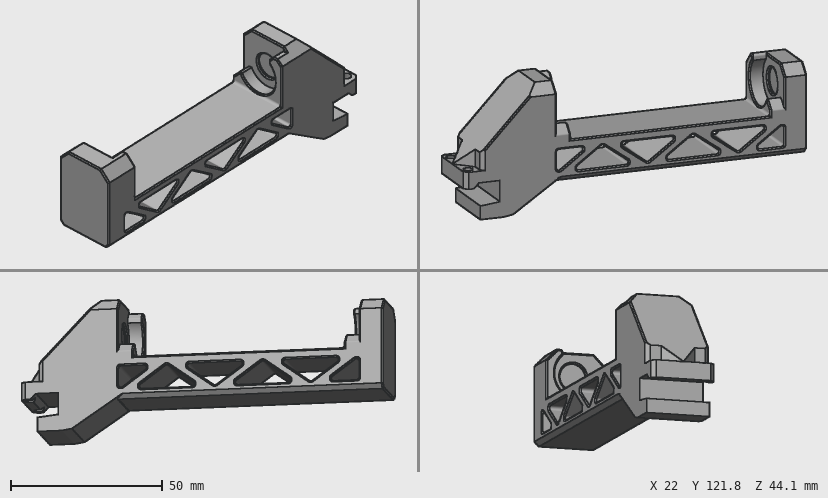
import cadquery as cq
import math

width = 22.0
length = 121.8
height = 44.1
half_width = width / 2
corner_cut = 3.8
edge_break = 0.5

beam_bottom = 10.1
beam_top = 24.1
beam_bottom_chamfer = 1.6
root_radius = 1.0

near_plate_top = 40.8
near_plate_face = 8.0
far_plate_face = 89.0
seat_depth = 5.0
seat_top = 42.4
seat_bottom = beam_top - 2 * edge_break
seat_radius = 8.0
seat_axis_z = 32.8
recess_diameter = 9.0
recess_depth = 1.0
post_side_z = 26.0
lower_post_z = 29.0
lower_post_x = lower_post_z - post_side_z - half_width
upper_post_x = 5.2
upper_post_z = 40.3
post_fillet = 0.7

head_top_end = 95.3
slot_roof = 12.8
slot_roof_end = 116.6
slot_back = 109.2
slot_floor_back = 5.5
slot_floor_tip = 4.7
hook_tip = 116.1
hook_foot_end = 108.0
underside_start = 104.6
underside_start_z = 0.5
underside_end = 87.5
tab_top = 16.8
tab_bottom = 11.0
tab_corner = 1.5
hole_diameter = 3.3
hole_x = 7.5
hole_y = 119.2
pocket_back = 115.9
pocket_outer_chamfer = 1.5

window_top = 21.1
window_bottom = 13.1
window_half_base = 11.1
window_fillet = 0.9
window_pitch = 16.13
near_apex_y = 8.2
full_windows = 4
far_apex_y = near_apex_y + (full_windows + 1) * window_pitch


def across(points):
    """Extrude an outline of (y, z) points over the whole width."""
    return cq.Workplane("YZ").polyline(points).close().extrude(half_width, both=True)


def end_block(start, end, bottom, top):
    """Block along Y whose upper corners are cut at 45 degrees."""
    block = cq.Workplane("XY").box(width, end - start, top - bottom, centered=(True, False, False))
    return block.edges("|Y and >Z").chamfer(corner_cut).translate((0, start, bottom))


def face_rim(face_y):
    """Selects the edges around an end plate's inner face, except its lower edge."""
    return cq.selectors.BoxSelector(
        (-width, face_y - 0.1, beam_bottom + beam_bottom_chamfer),
        (width, face_y + 0.1, height + 0.1),
    )


def make_beam():
    start = near_plate_face - edge_break
    span = far_plate_face + edge_break - start
    beam = cq.Workplane("XY").box(width, span, beam_top - beam_bottom, centered=(True, False, False))
    beam = beam.edges("|Y and <Z").chamfer(beam_bottom_chamfer)
    beam = beam.edges("|Y and >Z").chamfer(edge_break)
    return beam.translate((0, start, beam_bottom))


def make_near_plate():
    plate = end_block(0, near_plate_face, beam_bottom, near_plate_top)
    plate = plate.edges("|Y and <Z").chamfer(beam_bottom_chamfer)
    plate = plate.faces("<Y").edges().chamfer(edge_break)
    return plate.edges(face_rim(near_plate_face)).chamfer(edge_break)


def make_head():
    outline = [
        (far_plate_face, height),
        (head_top_end, height),
        (length, tab_top),
        (length, tab_bottom),
        (slot_roof_end + slot_roof - tab_bottom, tab_bottom),
        (slot_roof_end, slot_roof),
        (slot_back, slot_roof),
        (slot_back, slot_floor_back),
        (hook_tip, slot_floor_tip),
        (hook_tip, 0),
        (hook_foot_end, 0),
        (underside_start, underside_start_z),
        (underside_end, beam_bottom + beam_bottom_chamfer),
        (underside_end, seat_bottom),
        (far_plate_face, seat_bottom),
    ]
    head = across(outline)
    slope_edges = cq.selectors.BoxSelector(
        (-width, head_top_end, tab_top), (width, length, height)
    )
    head = head.edges(slope_edges).edges("not |X").chamfer(edge_break)
    head = head.intersect(end_block(0, length, 0, height))
    head = head.edges(face_rim(far_plate_face)).chamfer(edge_break)
    for side in (-1, 1):
        head = head.cut(tab_pocket(side))
    holes = cq.Workplane("XY").pushPoints([(-hole_x, hole_y), (hole_x, hole_y)])
    head = head.cut(holes.circle(hole_diameter / 2).extrude(height))
    return head.edges(">Y and |Z").chamfer(tab_corner)


def tab_pocket(side):
    """Recess above one corner of the tab, open upwards; side is -1 or 1."""
    outline = [
        (side * half_width, length),
        (side * half_width, pocket_back - pocket_outer_chamfer),
        (side * (half_width - pocket_outer_chamfer), pocket_back),
        (side * (length - pocket_back), pocket_back),
        (0, length),
    ]
    pocket = cq.Workplane("XY").workplane(offset=tab_top).polyline(outline).close()
    return pocket.extrude(height - tab_top)


def make_seat(plate_top, top_limit):
    """Seat on a plate whose face lies on Y = 0: a round pocket that is open towards -X and up.

    The seat reaches slightly into the plate to fill the broken edge of the plate's face.
    """
    seat = end_block(-seat_depth, edge_break, seat_bottom, plate_top)
    ceiling = cq.Workplane("XY").box(width, 4 * seat_depth, height, centered=(True, True, False))
    seat = seat.cut(ceiling.translate((0, 0, top_limit)))
    opening = (
        cq.Workplane("XZ", origin=(0, edge_break, 0))
        .moveTo(-half_width, post_side_z)
        .lineTo(lower_post_x, lower_post_z)
        .lineTo(0, lower_post_z)
        .lineTo(upper_post_x, seat_axis_z)
        .lineTo(upper_post_x, upper_post_z)
        .lineTo(upper_post_x + height - upper_post_z, height)
        .lineTo(-half_width, height)
        .close()
        .extrude(seat_depth + edge_break)
    )
    bore = (
        cq.Workplane("XZ", origin=(0, edge_break, seat_axis_z))
        .circle(seat_radius)
        .extrude(seat_depth + edge_break)
    )
    seat = seat.cut(opening).cut(bore)
    ridges = [
        (-half_width, post_side_z),
        (lower_post_x, lower_post_z),
        (upper_post_x, upper_post_z),
        (upper_post_x + top_limit - upper_post_z, top_limit),
    ]
    for x, z in ridges:
        ridge = cq.selectors.NearestToPointSelector((x, -seat_depth / 2, z))
        seat = seat.edges("|Y").edges(ridge).fillet(post_fillet)
    seat = seat.faces("<Y").edges("not <Z").chamfer(edge_break)
    return seat.union(root_fillet())


def root_fillet():
    """Concave fillet between the front of a seat and the beam top."""
    front = -seat_depth
    middle = root_radius * (1 - math.sqrt(0.5))
    return (
        cq.Workplane("YZ")
        .moveTo(front, beam_top + root_radius)
        .threePointArc((front - middle, beam_top + middle), (front - root_radius, beam_top))
        .lineTo(front, beam_top)
        .close()
        .extrude(half_width - edge_break, both=True)
    )


def make_recess():
    """Shallow round recess with a broken rim, sunk into a plate whose face lies on Y = 0."""
    face = cq.Workplane("XZ", origin=(0, 0, seat_axis_z))
    recess = face.circle(recess_diameter / 2).extrude(-recess_depth)
    rim = face.circle(recess_diameter / 2 + edge_break).extrude(-edge_break, taper=45)
    return recess.union(rim)


def make_window(outline):
    """Opening through the beam with rounded corners."""
    return across(outline).edges("|X").fillet(window_fillet)


def full_window(apex_y, apex_z, base_z):
    return make_window([
        (apex_y, apex_z),
        (apex_y - window_half_base, base_z),
        (apex_y + window_half_base, base_z),
    ])


def end_window(face_y, corner_y, base_z, rise_direction):
    """Right-angled window beside an end plate, as steep as the full windows."""
    slope = (window_top - window_bottom) / window_half_base
    rise = slope * abs(corner_y - face_y)
    return make_window([
        (face_y, base_z),
        (corner_y, base_z),
        (face_y, base_z + rise_direction * rise),
    ])


def place_near(feature):
    return feature.mirror("XZ").translate((0, near_plate_face, 0))


def place_far(feature):
    return feature.translate((0, far_plate_face, 0))


result = make_head().union(make_near_plate()).union(make_beam())

windows = [
    end_window(near_plate_face, near_apex_y + window_half_base, window_bottom, 1),
    end_window(far_plate_face, far_apex_y - window_half_base, window_top, -1),
]
for i in range(1, full_windows + 1):
    apex_y = near_apex_y + i * window_pitch
    if i % 2:
        windows.append(full_window(apex_y, window_bottom, window_top))
    else:
        windows.append(full_window(apex_y, window_top, window_bottom))
for window in windows:
    result = result.cut(window)

window_zone = cq.selectors.BoxSelector(
    (-width, near_plate_face - 1.2, window_bottom - 1.2),
    (width, far_plate_face + 1.2, window_top + 1.2),
)
for side in ("<X", ">X"):
    result = result.faces(side).edges(window_zone).chamfer(edge_break)

result = result.union(place_near(make_seat(near_plate_top, near_plate_top)))
result = result.union(place_far(make_seat(height, seat_top)))
result = result.cut(place_near(make_recess())).cut(place_far(make_recess()))